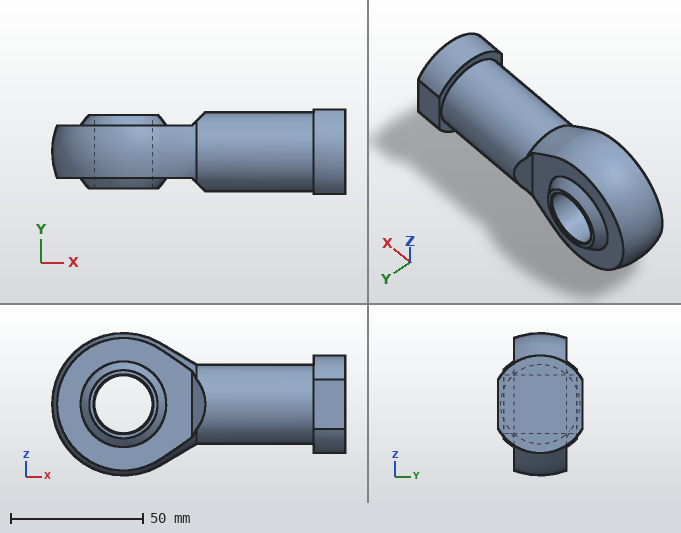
import cadquery as cq
import math


EYE_RADIUS = 27.0
EYE_WIDTH = 20.0
SHANK_RADIUS = 15.0
NECK_END_X = 27.7
EYE_FLAT_END_X = 26.0

END_X = 84.0
COLLAR_LENGTH = 12.0
COLLAR_RADIUS = 18.5
COLLAR_ACROSS_FLATS = 32.0

BALL_RADIUS = 19.05
BALL_WIDTH = 28.0
BORE_RADIUS = 11.0
BORE_CHAMFER = 0.35


def make_body():
    """Round eye, tangent conical neck and shank, turned about X."""
    neck_end_distance = math.hypot(NECK_END_X, SHANK_RADIUS)
    tangent_angle = math.atan2(SHANK_RADIUS, NECK_END_X) + math.acos(EYE_RADIUS / neck_end_distance)
    arc_middle_angle = (math.pi + tangent_angle) / 2

    def eye_point(angle):
        return (EYE_RADIUS * math.cos(angle), EYE_RADIUS * math.sin(angle))

    return (
        cq.Workplane("XY")
        .moveTo(-EYE_RADIUS, 0)
        .threePointArc(eye_point(arc_middle_angle), eye_point(tangent_angle))
        .lineTo(NECK_END_X, SHANK_RADIUS)
        .lineTo(END_X, SHANK_RADIUS)
        .lineTo(END_X, 0)
        .close()
        .revolve(360, (0, 0, 0), (1, 0, 0))
    )


def make_side_cutter(side):
    """Material beyond one flat side of the eye; side is +1 or -1 along Y."""
    flat_y = EYE_WIDTH / 2
    outer_y = EYE_RADIUS
    start_x = -EYE_RADIUS
    slope_end_x = EYE_FLAT_END_X + outer_y - flat_y
    return (
        cq.Workplane("XY")
        .polyline([
            (start_x, side * flat_y),
            (EYE_FLAT_END_X, side * flat_y),
            (slope_end_x, side * outer_y),
            (start_x, side * outer_y),
        ])
        .close()
        .extrude(EYE_RADIUS, both=True)
    )


def make_collar():
    """Round collar with two opposite wrench flats facing +Y and -Y."""
    start_x = END_X - COLLAR_LENGTH
    disc = cq.Workplane("YZ", origin=(start_x, 0, 0)).circle(COLLAR_RADIUS).extrude(COLLAR_LENGTH)
    flats = (
        cq.Workplane("YZ", origin=(start_x, 0, 0))
        .rect(COLLAR_ACROSS_FLATS, 2 * COLLAR_RADIUS)
        .extrude(COLLAR_LENGTH)
    )
    return disc.intersect(flats)


def make_ball():
    """Bearing ball truncated by two parallel faces."""
    slab = cq.Workplane("XY").box(2 * BALL_RADIUS, BALL_WIDTH, 2 * BALL_RADIUS)
    return cq.Workplane("XY").sphere(BALL_RADIUS).intersect(slab)


def make_bore_cutter():
    """Through bore along Y, widened by a small 45 degree chamfer at each mouth."""
    mouth_y = BALL_WIDTH / 2
    mouth_radius = BORE_RADIUS + BORE_CHAMFER
    chamfer_y = mouth_y - BORE_CHAMFER
    return (
        cq.Workplane("XY")
        .polyline([
            (0, -mouth_y),
            (mouth_radius, -mouth_y),
            (BORE_RADIUS, -chamfer_y),
            (BORE_RADIUS, chamfer_y),
            (mouth_radius, mouth_y),
            (0, mouth_y),
        ])
        .close()
        .revolve(360, (0, 0, 0), (0, 1, 0))
    )


body = make_body()
for side in (1, -1):
    body = body.cut(make_side_cutter(side))

result = body.union(make_collar()).union(make_ball()).cut(make_bore_cutter())